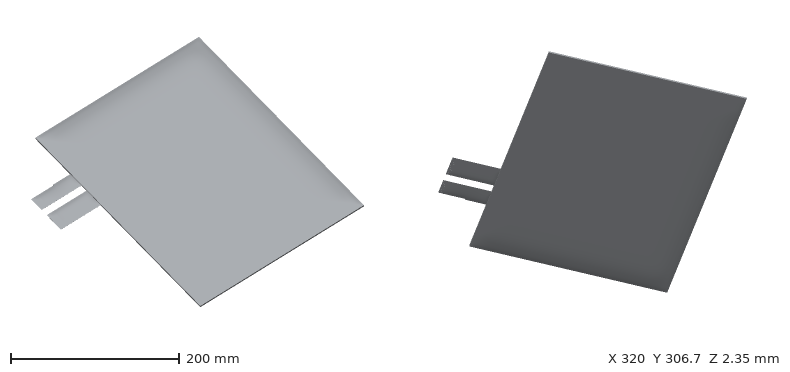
import cadquery as cq

plate_width = 320.0
plate_depth = 246.5
plate_thickness = 2.35

overall_depth = 306.7
tail_length = overall_depth - plate_depth
film_thickness = 0.12
film_bottom = 1.1
film_root = 1.0

narrow_tail_left = 69.2
narrow_tail_width = 20.5
wide_tail_left = 99.5
wide_tail_width = 27.5

shoulder_width = 1.2
shoulder_length = 26.5

stiffener_length = 10.0
stiffener_thickness = 0.1

finger_length = 5.0
finger_width = 0.5
finger_pitch = 1.0
finger_thickness = 0.035
finger_edge_margin = 1.5

film_length = tail_length - finger_length
film_top = film_bottom + film_thickness


def block(left, front, bottom, width, depth, height):
    """Box placed by its front left bottom corner."""
    return cq.Workplane("XY").box(width, depth, height, centered=False).translate((left, front, bottom))


def film(left, width, length):
    """Thin strip reaching forward from inside the plate."""
    return block(left, -length, film_bottom, width, length + film_root, film_thickness)


def contact_fingers(tail_left, tail_width):
    """Row of equal contact fingers, centred across the tail."""
    count = int((tail_width - 2 * finger_edge_margin - finger_width) / finger_pitch) + 1
    row_width = (count - 1) * finger_pitch + finger_width
    row_left = tail_left + (tail_width - row_width) / 2
    finger = block(
        row_left, -tail_length, film_top - finger_thickness,
        finger_width, finger_length, finger_thickness,
    ).val()
    return [finger.translate(cq.Vector(i * finger_pitch, 0, 0)) for i in range(count)]


def tail(left, width):
    """Film with a stiffener above it and contact fingers at the free end."""
    stiffener = block(left, -tail_length, film_top, width, stiffener_length, stiffener_thickness)
    body = film(left, width, film_length).union(stiffener).val()
    return cq.Workplane(body.fuse(*contact_fingers(left, width)))


plate = block(0, 0, 0, plate_width, plate_depth, plate_thickness)
shoulder = film(narrow_tail_left - shoulder_width, shoulder_width, shoulder_length)

result = (
    plate
    .union(tail(narrow_tail_left, narrow_tail_width))
    .union(shoulder)
    .union(tail(wide_tail_left, wide_tail_width))
)